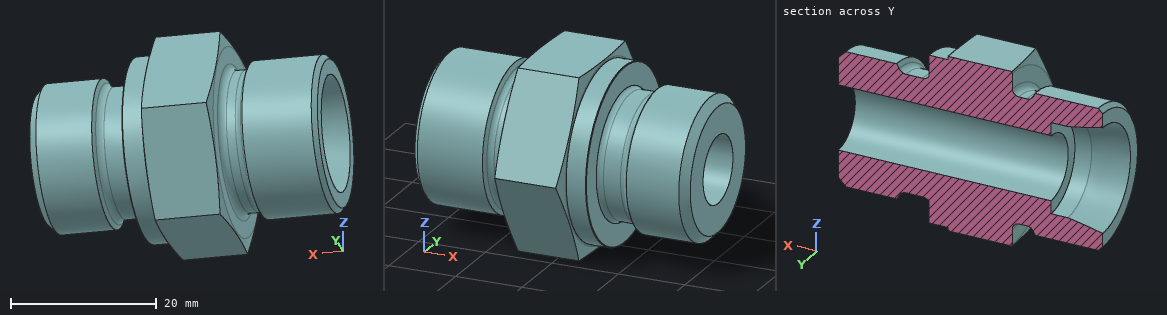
import cadquery as cq
import math

tube_thread_end = 10.5
hex_start = 14.0
hex_width = 10.0
collar_width = 3.0
overall_length = 41.0
stud_thread_start = 31.9
collar_start = hex_start + hex_width
collar_end = collar_start + collar_width

tube_thread_radius = 22.0 / 2
tube_groove_radius = 19.7 / 2
stud_thread_radius = 20.955 / 2
stud_groove_radius = 18.4 / 2
collar_radius = 26.0 / 2

tube_end_chamfer = 0.7
stud_end_chamfer = 1.2
collar_chamfer = 0.1
tube_groove_fillet = 1.0
stud_groove_fillet = 1.2
collar_fillet_reach = 0.9
groove_slope = math.radians(60)

across_flats = 27.0
hex_face_radius = 26.5 / 2
hex_chamfer_angle = math.radians(10)

cone_mouth_radius = 16.3 / 2
socket_radius = 14.0 / 2
socket_depth = 8.0
bore_radius = 10.0 / 2
cone_half_angle = math.radians(12)


def revolve_about_x(profile):
    """Turn a closed profile of (x, radius) into a solid about the X axis."""
    return profile.close().revolve(360, (0, 0, 0), (1, 0, 0))


def fillet_arc(tangent_x, groove_radius, fillet, end_angle, direction):
    """Points (bottom, middle, top) of an arc rising from the groove floor by end_angle.

    direction is +1 when the arc rises toward +X, -1 when it rises toward -X.
    """
    return [
        (tangent_x + direction * fillet * math.sin(angle),
         groove_radius + fillet * (1 - math.cos(angle)))
        for angle in (0, end_angle / 2, end_angle)
    ]


def slope_arc(thread_x, thread_radius, groove_radius, fillet, direction):
    """Fillet arc that runs tangent into the sloped end face of a thread."""
    arc_rise = fillet * (1 - math.cos(groove_slope))
    slope_length = (thread_radius - groove_radius - arc_rise) / math.tan(groove_slope)
    tangent_x = thread_x - direction * (slope_length + fillet * math.sin(groove_slope))
    return fillet_arc(tangent_x, groove_radius, fillet, groove_slope, direction)


def wall_arc(wall_x, groove_radius, fillet, reach, direction):
    """Fillet arc that ends on a flat wall, starting at the distance reach from it."""
    tangent_x = wall_x - direction * reach
    return fillet_arc(tangent_x, groove_radius, fillet, math.asin(reach / fillet), direction)


def tube_side():
    """Threaded tube end with its run-out groove, up to the hexagon."""
    slope_low, slope_middle, slope_high = slope_arc(
        tube_thread_end, tube_thread_radius, tube_groove_radius, tube_groove_fillet, -1)
    wall_low, wall_middle, wall_high = wall_arc(
        hex_start, tube_groove_radius, tube_groove_fillet, tube_groove_fillet, 1)
    profile = (
        cq.Workplane("XY")
        .moveTo(0, 0)
        .lineTo(0, tube_thread_radius - tube_end_chamfer)
        .lineTo(tube_end_chamfer, tube_thread_radius)
        .lineTo(tube_thread_end, tube_thread_radius)
        .lineTo(*slope_high)
        .threePointArc(slope_middle, slope_low)
        .lineTo(*wall_low)
        .threePointArc(wall_middle, wall_high)
        .lineTo(hex_start, 0)
    )
    return revolve_about_x(profile)


def stud_side():
    """Sealing collar, run-out groove and stud thread on the far side of the hexagon."""
    slope_low, slope_middle, slope_high = slope_arc(
        stud_thread_start, stud_thread_radius, stud_groove_radius, stud_groove_fillet, 1)
    wall_low, wall_middle, wall_high = wall_arc(
        collar_end, stud_groove_radius, stud_groove_fillet, collar_fillet_reach, -1)
    profile = (
        cq.Workplane("XY")
        .moveTo(collar_start, 0)
        .lineTo(collar_start, collar_radius)
        .lineTo(collar_end - collar_chamfer, collar_radius)
        .lineTo(collar_end, collar_radius - collar_chamfer)
        .lineTo(*wall_high)
        .threePointArc(wall_middle, wall_low)
        .lineTo(*slope_low)
        .threePointArc(slope_middle, slope_high)
        .lineTo(stud_thread_start, stud_thread_radius)
        .lineTo(overall_length - stud_end_chamfer, stud_thread_radius)
        .lineTo(overall_length, stud_thread_radius - stud_end_chamfer)
        .lineTo(overall_length, 0)
    )
    return revolve_about_x(profile)


def hexagon():
    """Hexagon with corners on +Y and -Y, both faces chamfered by a shallow cone."""
    corner_radius = across_flats / math.sqrt(3)
    chamfer_depth = (corner_radius - hex_face_radius) * math.tan(hex_chamfer_angle)
    prism = (
        cq.Workplane("YZ", origin=(hex_start, 0, 0))
        .polygon(6, 2 * corner_radius)
        .extrude(hex_width)
    )
    envelope = revolve_about_x(
        cq.Workplane("XY")
        .moveTo(hex_start, 0)
        .lineTo(hex_start, hex_face_radius)
        .lineTo(hex_start + chamfer_depth, corner_radius)
        .lineTo(collar_start - chamfer_depth, corner_radius)
        .lineTo(collar_start, hex_face_radius)
        .lineTo(collar_start, 0)
    )
    return prism.intersect(envelope)


def passage():
    """Cone and tube socket at the tube end, then the bore through to the stud end."""
    cone_depth = (cone_mouth_radius - socket_radius) / math.tan(cone_half_angle)
    return revolve_about_x(
        cq.Workplane("XY")
        .moveTo(0, 0)
        .lineTo(0, cone_mouth_radius)
        .lineTo(cone_depth, socket_radius)
        .lineTo(socket_depth, socket_radius)
        .lineTo(socket_depth, bore_radius)
        .lineTo(overall_length, bore_radius)
        .lineTo(overall_length, 0)
    )


result = tube_side().union(hexagon()).union(stud_side()).cut(passage())